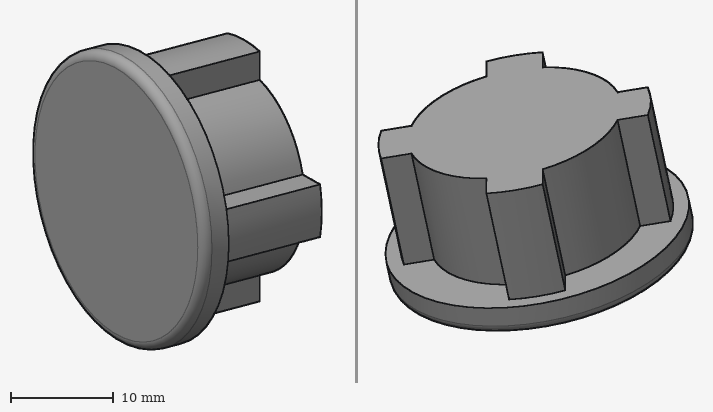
import cadquery as cq

flange_diameter = 30.0
flange_thickness = 3.0
flange_edge_radius = 1.0
overall_length = 15.0
stem_length = overall_length - flange_thickness

core_diameter = 21.1
lug_tip_diameter = 26.9
lug_width = 5.55


def cylinder_along_y(diameter, start, length):
    """Cylinder on the Y axis, growing toward +Y from start."""
    plane = cq.Workplane("XZ", origin=(0, start, 0))
    return plane.circle(diameter / 2).extrude(-length)


def make_flange():
    flange = cylinder_along_y(flange_diameter, 0, flange_thickness)
    return flange.faces("<Y").edges().fillet(flange_edge_radius)


def make_stem():
    core = cylinder_along_y(core_diameter, flange_thickness, stem_length)
    base = cq.Workplane("XZ", origin=(0, flange_thickness, 0))
    bar_x = base.rect(lug_tip_diameter, lug_width).extrude(-stem_length)
    bar_z = base.rect(lug_width, lug_tip_diameter).extrude(-stem_length)
    tip_cylinder = cylinder_along_y(lug_tip_diameter, flange_thickness, stem_length)
    lugs = bar_x.union(bar_z).intersect(tip_cylinder)
    return core.union(lugs)


result = make_flange().union(make_stem())